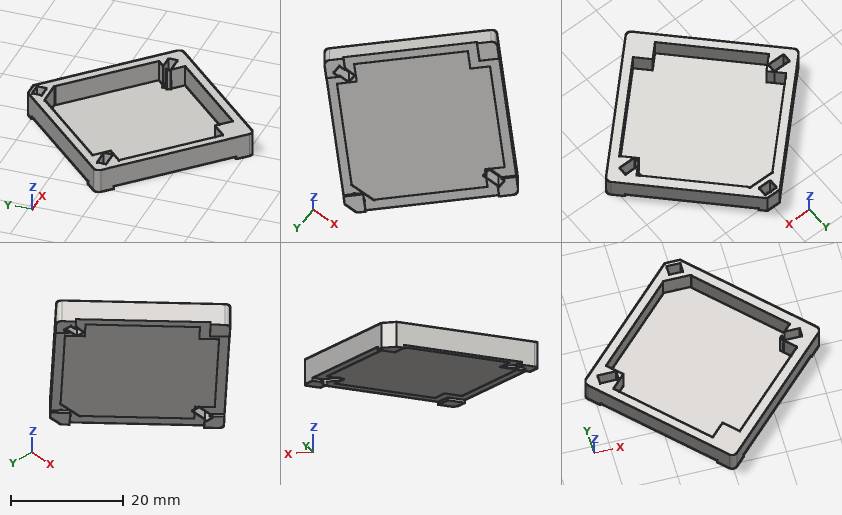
import cadquery as cq
import math

WIDTH = 42.95
LENGTH = 41.95
HEIGHT = 4.6
CORNER_RADIUS = 1.0
HALF_DIAGONAL = WIDTH / 2 + CORNER_RADIUS * (math.sqrt(2) - 1)
SIDE = HALF_DIAGONAL * math.sqrt(2)
FLAT_Y = LENGTH - WIDTH / 2

POCKET_CENTER = (-0.15, -0.05)
POCKET_LONG = 27.4
POCKET_SHORT = 20.35
POCKET_DEPTH = 4.0
BAY_SIZE = (5.2, 3.4)
BAY_CENTER = (-0.1, 15.2)

FOOT_SIDE = 3.5
FOOT_HEIGHT = 0.5

SLOT_SIZE = (3.45, 1.7)
SLOT_CENTERS = [(-17.3, 0.0), (16.5, 0.25)]
BLIND_SIZE = (2.55, 1.85)
BLIND_CENTER = (0.0, 18.85)


def block(size, center, bottom, height, turn=0):
    """Upright block turned about its own vertical axis, then moved into place."""
    blank = cq.Workplane("XY").rect(*size).extrude(height)
    return blank.rotate((0, 0, 0), (0, 0, 1), turn).translate((*center, bottom))


def make_body():
    square = block((SIDE, SIDE), (0, 0), 0, HEIGHT, 45)
    rounded = square.edges("|Z").edges("not >Y").fillet(CORNER_RADIUS)
    trim_center = (0, FLAT_Y + WIDTH / 2)
    return rounded.cut(block((WIDTH, WIDTH), trim_center, 0, HEIGHT))


def make_pocket():
    floor = HEIGHT - POCKET_DEPTH
    size = (POCKET_LONG, POCKET_SHORT)
    pocket = block(BAY_SIZE, BAY_CENTER, floor, POCKET_DEPTH)
    for turn in (45, 135):
        pocket = pocket.union(block(size, POCKET_CENTER, floor, POCKET_DEPTH, turn))
    return pocket


def make_underside_cross():
    arm_size = (SIDE, SIDE - 2 * FOOT_SIDE)
    first_arm = block(arm_size, (0, 0), 0, FOOT_HEIGHT, 45)
    return first_arm.union(block(arm_size, (0, 0), 0, FOOT_HEIGHT, 135))


result = make_body().cut(make_pocket()).cut(make_underside_cross())
for slot_center in SLOT_CENTERS:
    result = result.cut(block(SLOT_SIZE, slot_center, 0, HEIGHT))
result = result.cut(block(BLIND_SIZE, BLIND_CENTER, HEIGHT - POCKET_DEPTH, POCKET_DEPTH))